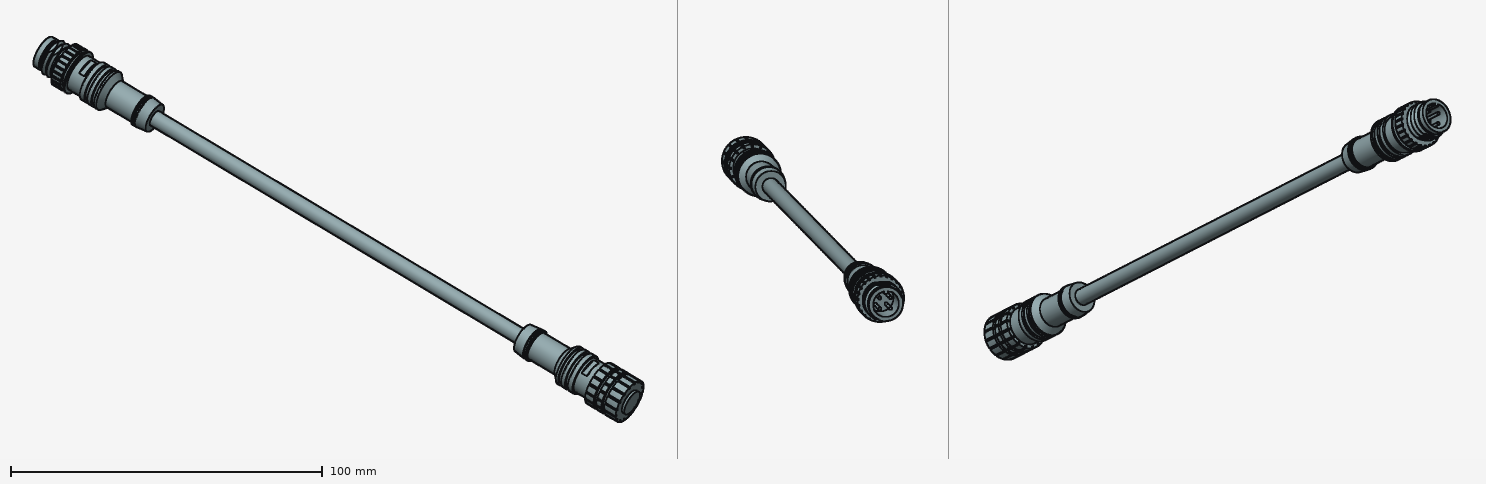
import cadquery as cq
import math

TOTAL_LENGTH = 235.02
NUT_RADIUS = 7.6

OVERMOULD_LENGTH = 30.3
BODY_RADIUS = 6.3
RIBS_START = 5.5
RIB_RADIUS = 7.0
RIB_GROOVE_CENTRES = (7.9, 10.6)
RIB_GROOVE_RADIUS = 6.3
RIB_GROOVE_WIDTH = 1.2
SHOULDER_START = 12.1
SHOULDER_END = 14.2
SLEEVE_RADIUS = 4.9
COLLAR_START = 24.9
COLLAR_RADIUS = 5.5
COLLAR_LAND = 0.6
COLLAR_GROOVE_WIDTH = 0.9
COLLAR_END_RADIUS = 5.0

MARK_CENTRE = 3.5
MARK_LENGTH = 2.1
MARK_WIDTH = 6.6
MARK_DEPTH = 0.9

CABLE_RADIUS = 2.7
CABLE_INSERTION = OVERMOULD_LENGTH - SHOULDER_END

TIP_RING_LENGTH = 2.1
TIP_RING_RADIUS = 5.6
INSERT_RADIUS = 4.9
SOCKET_RADIUS = 4.2
SOCKET_DEPTH = 9.0
PIN_RADIUS = 0.5
PIN_CIRCLE_RADIUS = 2.5
PIN_COUNT = 4
FIRST_PIN_ANGLE = 45
PIN_SETBACK = 1.5
KEY_WIDTH = 1.2
KEY_HEIGHT = 0.8

MALE_NUT_START = 2.9
THREAD_RADIUS = 6.2
THREAD_ROOT_RADIUS = 5.4
THREAD_PITCH = 1.9
THREAD_COUNT = 3
THREAD_FLAT_HALF_WIDTH = 5.6
MALE_GRIP_START = MALE_NUT_START + THREAD_COUNT * THREAD_PITCH
MALE_GRIP_END = 12.2
MALE_RING_START = 13.5
MALE_NUT_END = 14.1
MALE_RING_GROOVE_RADIUS = 6.4
MALE_KNURL_COUNT = 24
MALE_KNURL_WIDTH = 0.4
MALE_KNURL_DEPTH = 0.4

FEMALE_INSERT_RADIUS = 4.2
FEMALE_NUT_START = 1.0
FEMALE_NUT_END = 13.2
FEMALE_GROOVES = (6.2, 9.3)
FEMALE_GROOVE_WIDTH = 1.1
FEMALE_GROOVE_RADIUS = 6.7
FEMALE_FLUTE_COUNT = 16
FEMALE_FLUTE_WIDTH = 0.5
FEMALE_FLUTE_DEPTH = 0.7


def cylinder(start, end, radius):
    """Cylinder along X between two stations."""
    return cq.Workplane("YZ", origin=(start, 0, 0)).circle(radius).extrude(end - start)


def ring(start, end, outer_radius, inner_radius):
    """Tube along X between two stations."""
    return cylinder(start, end, outer_radius).cut(cylinder(start, end, inner_radius))


def revolved(profile):
    """Solid of revolution about X from (station, radius) points."""
    return cq.Workplane("XY").polyline(profile).close().revolve(360, (0, 0, 0), (1, 0, 0))


def groove_cutter(centre, width, outer_radius, floor_radius):
    """Ring that cuts a square groove down to the floor radius."""
    return ring(centre - width / 2, centre + width / 2, outer_radius, floor_radius)


def flutes(start, end, count, width, depth, radius):
    """Evenly spaced lengthwise slots cut into a cylinder of the given radius."""
    slots = cq.Workplane("XY")
    for index in range(count):
        slot = (
            cq.Workplane("XY")
            .box(end - start, width, 2 * depth)
            .translate(((start + end) / 2, 0, radius))
            .rotate((0, 0, 0), (1, 0, 0), index * 360 / count)
        )
        slots = slots.add(slot)
    return slots.combine()


def overmould():
    """Grip body, ribs, shoulder, sleeve and end collar, bored for the cable."""
    groove_start = COLLAR_START + COLLAR_LAND
    cone_start = groove_start + COLLAR_GROOVE_WIDTH
    profile = [
        (0, 0),
        (0, BODY_RADIUS),
        (RIBS_START, BODY_RADIUS),
        (RIBS_START, RIB_RADIUS),
        (SHOULDER_START, RIB_RADIUS),
        (SHOULDER_END, SLEEVE_RADIUS),
        (COLLAR_START, SLEEVE_RADIUS),
        (COLLAR_START, COLLAR_RADIUS),
        (groove_start, COLLAR_RADIUS),
        (groove_start, SLEEVE_RADIUS),
        (cone_start, SLEEVE_RADIUS),
        (cone_start, COLLAR_RADIUS),
        (OVERMOULD_LENGTH, COLLAR_END_RADIUS),
        (OVERMOULD_LENGTH, 0),
    ]
    body = revolved(profile)
    for centre in RIB_GROOVE_CENTRES:
        body = body.cut(groove_cutter(centre, RIB_GROOVE_WIDTH, RIB_RADIUS, RIB_GROOVE_RADIUS))
    mark = cq.Workplane("XY").box(MARK_LENGTH, MARK_WIDTH, 2 * MARK_DEPTH)
    body = body.cut(mark.translate((MARK_CENTRE, 0, BODY_RADIUS)))
    return body.cut(cylinder(OVERMOULD_LENGTH - CABLE_INSERTION, OVERMOULD_LENGTH, CABLE_RADIUS))


def male_housing():
    """Overmould with the pin insert, tip at station zero."""
    housing = overmould().translate((MALE_NUT_END, 0, 0))
    housing = housing.union(cylinder(0, MALE_NUT_END, INSERT_RADIUS))
    housing = housing.union(cylinder(0, TIP_RING_LENGTH, TIP_RING_RADIUS))
    housing = housing.cut(cylinder(0, SOCKET_DEPTH, SOCKET_RADIUS))
    for index in range(PIN_COUNT):
        angle = math.radians(FIRST_PIN_ANGLE + index * 360 / PIN_COUNT)
        pin = cylinder(PIN_SETBACK, SOCKET_DEPTH, PIN_RADIUS).translate(
            (0, PIN_CIRCLE_RADIUS * math.cos(angle), PIN_CIRCLE_RADIUS * math.sin(angle))
        )
        housing = housing.union(pin)
    key_reach = INSERT_RADIUS - SOCKET_RADIUS + KEY_HEIGHT
    key = (
        cq.Workplane("XY")
        .box(SOCKET_DEPTH, KEY_WIDTH, key_reach)
        .translate((SOCKET_DEPTH / 2, 0, SOCKET_RADIUS - KEY_HEIGHT + key_reach / 2))
        .intersect(cylinder(0, SOCKET_DEPTH, INSERT_RADIUS))
    )
    return housing.union(key)


def male_nut():
    """Externally threaded nut with a knurled grip, running on the insert."""
    points = [(MALE_NUT_START, INSERT_RADIUS), (MALE_NUT_START, THREAD_ROOT_RADIUS)]
    for index in range(THREAD_COUNT):
        ridge_start = MALE_NUT_START + index * THREAD_PITCH
        points.append((ridge_start + THREAD_PITCH / 2, THREAD_RADIUS))
        points.append((ridge_start + THREAD_PITCH, THREAD_ROOT_RADIUS))
    points.append((MALE_GRIP_START, INSERT_RADIUS))
    thread = revolved(points)
    flats = cq.Workplane("XY").box(2 * MALE_NUT_END, 2 * NUT_RADIUS, 2 * THREAD_FLAT_HALF_WIDTH)
    thread = thread.intersect(flats)
    grip = ring(MALE_GRIP_START, MALE_NUT_END, NUT_RADIUS, INSERT_RADIUS)
    grip = grip.cut(ring(MALE_GRIP_END, MALE_RING_START, NUT_RADIUS, MALE_RING_GROOVE_RADIUS))
    grip = grip.cut(
        flutes(MALE_GRIP_START, MALE_GRIP_END, MALE_KNURL_COUNT, MALE_KNURL_WIDTH,
               MALE_KNURL_DEPTH, NUT_RADIUS)
    )
    return thread.union(grip)


def female_housing():
    """Overmould with the plain socket insert, tip at station zero."""
    housing = overmould().translate((FEMALE_NUT_END, 0, 0))
    return housing.union(cylinder(0, FEMALE_NUT_END, FEMALE_INSERT_RADIUS))


def female_nut():
    """Fluted nut with grip grooves, running on the socket insert."""
    nut = ring(FEMALE_NUT_START, FEMALE_NUT_END, NUT_RADIUS, FEMALE_INSERT_RADIUS)
    for centre in FEMALE_GROOVES:
        nut = nut.cut(groove_cutter(centre, FEMALE_GROOVE_WIDTH, NUT_RADIUS, FEMALE_GROOVE_RADIUS))
    return nut.cut(
        flutes(FEMALE_NUT_START, FEMALE_NUT_END, FEMALE_FLUTE_COUNT, FEMALE_FLUTE_WIDTH,
               FEMALE_FLUTE_DEPTH, NUT_RADIUS)
    )


def at_male_end(body):
    """Place a part so that its tip is the -X end of the assembly."""
    return body.translate((-TOTAL_LENGTH / 2, 0, 0))


def at_female_end(body):
    """Turn a part round so that its tip is the +X end of the assembly."""
    return body.mirror("YZ").translate((TOTAL_LENGTH / 2, 0, 0))


cable_start = -TOTAL_LENGTH / 2 + MALE_NUT_END + OVERMOULD_LENGTH - CABLE_INSERTION
cable_end = TOTAL_LENGTH / 2 - FEMALE_NUT_END - OVERMOULD_LENGTH + CABLE_INSERTION
cable = cylinder(cable_start, cable_end, CABLE_RADIUS)

result = cq.Compound.makeCompound([
    cable.val(),
    at_male_end(male_housing()).val(),
    at_male_end(male_nut()).val(),
    at_female_end(female_housing()).val(),
    at_female_end(female_nut()).val(),
])